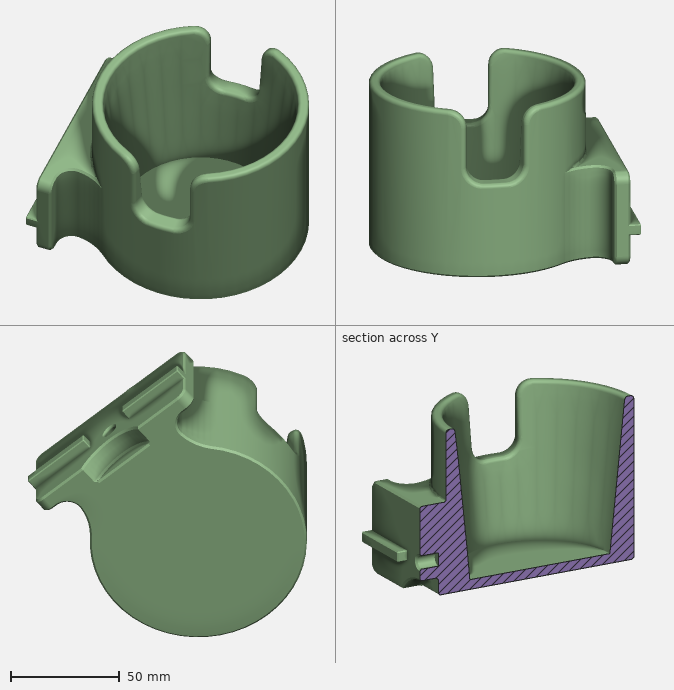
import cadquery as cq
import math

cup_radius = 100.0 / 2
cup_height = 80.0
wall_at_rim = 5.0
floor_thickness = 5.0
floor_radius = 37.0
rim_fillet = 2.0
edge_chamfer = 1.0
overlap = 1.2

bracket_height = 45.0
notch_floor = bracket_height
notch_half_width = 14.2
notch_side_slope = 0.22
notch_corner_radius = 8.0

overall_length = 118.8
rail_height = 5.0
rail_width = 5.1
rail_length = 33.6
rail_chamfer = 0.5
rail_center_z = 17.6
plate_thickness = 7.5
plate_width = 90.0
plate_corner_radius = 5.0
web_corner_radius = 7.5
web_blend_radius = 24.9
web_tangent_x = -33.7
web_sink = 0.04
collar_size = 1.0
collar_half_width = 31.2

screw_hole_diameter = 6.3
recess_depth = 10.0
arch_radius = 20.3
arch_height = 8.5

rail_face_x = cup_radius - overall_length
plate_front_x = rail_face_x + rail_height
plate_back_x = plate_front_x + plate_thickness
half_plate = plate_width / 2


def make_bore():
    """Tapered cavity of the cup."""
    return (
        cq.Workplane("XZ")
        .moveTo(0, floor_thickness)
        .lineTo(floor_radius, floor_thickness)
        .lineTo(cup_radius - wall_at_rim, cup_height)
        .lineTo(0, cup_height)
        .close()
        .revolve(360, (0, 0, 0), (0, 1, 0))
    )


def make_cup():
    """Cup with both notches cut and every rim edge rounded."""
    cup = cq.Workplane("XY").circle(cup_radius).extrude(cup_height)
    cup = cup.faces("<Z").chamfer(edge_chamfer).cut(make_bore())
    for side in (-1, 1):
        cup = cup.cut(make_notch(side))
    cup = cup.faces(">Z").edges("not %CIRCLE").fillet(notch_corner_radius)
    return cup.faces(">Z").edges("%CIRCLE").fillet(rim_fillet)


def make_notch(side):
    """Wedge-shaped cutter with rounded bottom corners; side is -1 or +1 along Y."""
    inner_y = floor_radius
    outer_y = cup_radius + overlap
    inner_half = notch_half_width - notch_side_slope * (cup_radius - inner_y)
    outer_half = notch_half_width + notch_side_slope * (outer_y - cup_radius)
    return (
        cq.Workplane("XY", origin=(0, 0, notch_floor))
        .polyline([
            (-inner_half, side * inner_y),
            (inner_half, side * inner_y),
            (outer_half, side * outer_y),
            (-outer_half, side * outer_y),
        ])
        .close()
        .extrude(cup_height)
        .faces("<Z")
        .edges("not |X")
        .fillet(notch_corner_radius)
    )


def arc_point(center, radius, angle):
    """Point on a circle at an angle in radians."""
    return (center[0] + radius * math.cos(angle), center[1] + radius * math.sin(angle))


def make_bracket():
    """Plate and web in one extrusion, with rounded plate corners and chamfered edges."""
    touch_radius = cup_radius - web_sink
    cup_angle = math.acos(web_tangent_x / touch_radius)
    blend_center = arc_point((0, 0), touch_radius + web_blend_radius, cup_angle)
    corner_x = plate_back_x + web_corner_radius
    join_angle = -math.acos((corner_x - blend_center[0]) / (web_blend_radius - web_corner_radius))
    corner_center = arc_point(blend_center, web_blend_radius - web_corner_radius, join_angle)

    join = arc_point(blend_center, web_blend_radius, join_angle)
    cup_touch = arc_point((0, 0), touch_radius, cup_angle)
    blend_mid = arc_point(blend_center, web_blend_radius, (join_angle + cup_angle - math.pi) / 2)
    corner_mid = arc_point(corner_center, web_corner_radius, (join_angle - math.pi) / 2)

    half = (
        cq.Workplane("XY")
        .moveTo(plate_front_x, 0)
        .lineTo(plate_front_x, half_plate)
        .lineTo(plate_back_x, half_plate)
        .lineTo(plate_back_x, corner_center[1])
        .threePointArc(corner_mid, join)
        .threePointArc(blend_mid, cup_touch)
        .lineTo(cup_touch[0], 0)
        .close()
        .extrude(bracket_height)
    )
    bracket = half.union(half.mirror("XZ"))
    bracket = bracket.faces("<Y or >Y").edges("|X").fillet(plate_corner_radius)

    outline = bracket.faces("<X or <Z or >Z").edges("not |X").edges("not >X")
    for side in (-1, 1):
        end_box = cq.selectors.BoxSelector(
            (plate_back_x - overlap, side * (half_plate - plate_corner_radius), -overlap),
            (plate_back_x + overlap, side * (half_plate + overlap), bracket_height + overlap),
        )
        outline = outline.add(bracket.edges(end_box))
    wall_middle = cq.Workplane("XY").circle(cup_radius - wall_at_rim / 2).extrude(cup_height)
    return outline.chamfer(edge_chamfer).cut(wall_middle)


def make_collar():
    """Concave fillet between the web top and the cup wall."""
    outer_radius = cup_radius + collar_size
    top_z = bracket_height + collar_size
    ring = (
        cq.Workplane("XZ")
        .moveTo(cup_radius - overlap, bracket_height - overlap)
        .lineTo(outer_radius, bracket_height - overlap)
        .lineTo(outer_radius, bracket_height)
        .radiusArc((cup_radius, top_z), collar_size)
        .lineTo(cup_radius - overlap, top_z)
        .close()
        .revolve(360, (0, 0, 0), (0, 1, 0))
    )
    sector = cq.Workplane("XY").box(
        outer_radius, 2 * collar_half_width, cup_height, centered=(False, True, False)
    )
    return ring.intersect(sector.translate((-outer_radius, 0, 0)))


def make_rail(side):
    """Locating rail on the plate face, flush with the plate end."""
    rail = cq.Workplane("XY").box(
        rail_height + overlap, rail_length, rail_width, centered=(False, True, True)
    )
    rail = rail.edges("<X or |X").chamfer(rail_chamfer)
    return rail.translate((rail_face_x, side * (half_plate - rail_length / 2), rail_center_z))


def make_recess(radius, center_z):
    """Round blind recess along X with a chamfered mouth in the plate face."""
    recess = (
        cq.Workplane("XY")
        .lineTo(0, radius + edge_chamfer)
        .lineTo(edge_chamfer, radius)
        .lineTo(recess_depth, radius)
        .lineTo(recess_depth, 0)
        .close()
        .revolve(360, (0, 0, 0), (1, 0, 0))
    )
    return recess.translate((plate_front_x, 0, center_z))


def make_arch():
    """Arched recess in the bottom edge, with its far rim and its lower back edge chamfered."""
    center_z = arch_height - arch_radius
    back_x = plate_front_x + recess_depth
    arch = make_recess(arch_radius, center_z).faces(">X").chamfer(edge_chamfer)
    back_half_width = math.sqrt((arch_radius - edge_chamfer) ** 2 - center_z**2)
    bevel = (
        cq.Workplane("XZ")
        .moveTo(back_x - edge_chamfer, 0)
        .lineTo(back_x + edge_chamfer, 0)
        .lineTo(back_x, edge_chamfer)
        .lineTo(back_x - edge_chamfer, edge_chamfer)
        .close()
        .extrude(back_half_width, both=True)
    )
    return arch.union(bevel)


result = make_cup().union(make_bracket()).union(make_collar())
for rail_side in (-1, 1):
    result = result.union(make_rail(rail_side))
result = result.cut(make_recess(screw_hole_diameter / 2, rail_center_z))
result = result.cut(make_arch())